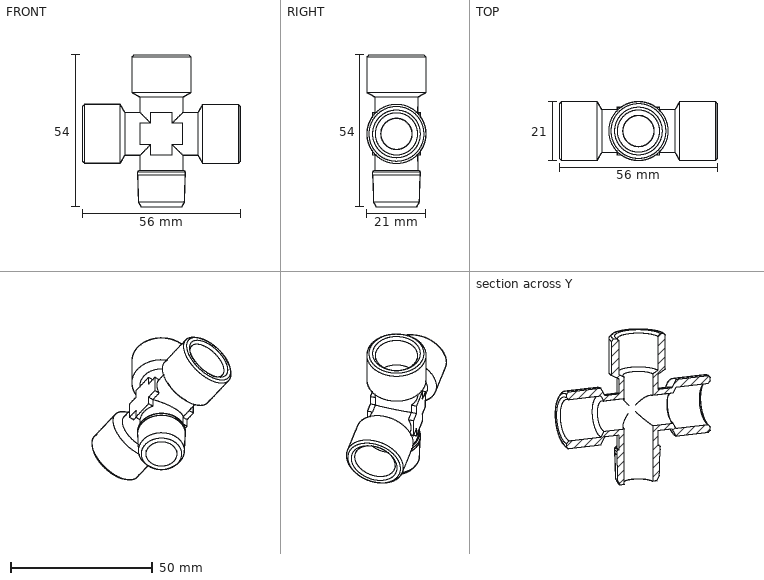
import cadquery as cq


neck_radius = 15.3 / 2
bore_radius = 11.0 / 2

socket_reach = 28.0
socket_radius = 21.0 / 2
socket_back = 14.6
shoulder_length = 1.6
socket_rim_chamfer = 0.8
socket_bore_radius = 14.95 / 2
socket_mouth_radius = 16.9 / 2
mouth_chamfer_depth = socket_mouth_radius - socket_bore_radius
socket_bore_end = 14.6
socket_floor_depth = 1.1

male_reach = 54.0 - socket_reach
male_start = 12.95
male_back_chamfer = 0.5
male_collar_radius = 17.0 / 2
male_collar_end = 14.6
thread_start_radius = 16.9 / 2
male_tip_chamfer_length = 1.8
male_tip_chamfer_width = 1.0
thread_taper = 1 / 32

pad_span = 15.05
pad_arm_width = 7.6
pad_thickness_across = 17.0


def revolve_profile(points):
    """Revolve (radius, height) points around the Z axis."""
    return cq.Workplane("XZ").polyline(points).close().revolve(360, (0, 0, 0), (0, 1, 0))


def socket_body():
    """Outside of an upward female branch."""
    return revolve_profile([
        (0, 0),
        (neck_radius, 0),
        (neck_radius, socket_back - shoulder_length),
        (socket_radius, socket_back),
        (socket_radius, socket_reach - socket_rim_chamfer),
        (socket_radius - socket_rim_chamfer, socket_reach),
        (0, socket_reach),
    ])


def socket_bore():
    """Inside of an upward female branch."""
    return revolve_profile([
        (0, 0),
        (bore_radius, 0),
        (bore_radius, socket_bore_end - socket_floor_depth),
        (socket_bore_radius, socket_bore_end),
        (socket_bore_radius, socket_reach - mouth_chamfer_depth),
        (socket_mouth_radius, socket_reach),
        (0, socket_reach),
    ])


def male_body():
    """Outside of the downward tapered branch."""
    taper_end = male_reach - male_tip_chamfer_length
    taper_end_radius = thread_start_radius - thread_taper * (taper_end - male_collar_end)
    return revolve_profile([
        (0, 0),
        (neck_radius, 0),
        (neck_radius, -male_start),
        (male_collar_radius - male_back_chamfer, -male_start),
        (male_collar_radius, -male_start - male_back_chamfer),
        (male_collar_radius, -male_collar_end),
        (thread_start_radius, -male_collar_end),
        (taper_end_radius, -taper_end),
        (taper_end_radius - male_tip_chamfer_width, -male_reach),
        (0, -male_reach),
    ])


def cross_pads():
    """Plus-shaped block whose two ends stand proud of the necks."""
    flat = cq.Workplane("XY").box(pad_span, pad_thickness_across, pad_arm_width)
    upright = cq.Workplane("XY").box(pad_arm_width, pad_thickness_across, pad_span)
    return flat.union(upright)


body = male_body().union(cross_pads())
bores = cq.Workplane("XY").circle(bore_radius).extrude(-male_reach)
for angle in (-90, 0, 90):
    body = body.union(socket_body().rotate((0, 0, 0), (0, 1, 0), angle))
    bores = bores.union(socket_bore().rotate((0, 0, 0), (0, 1, 0), angle))

result = body.cut(bores)